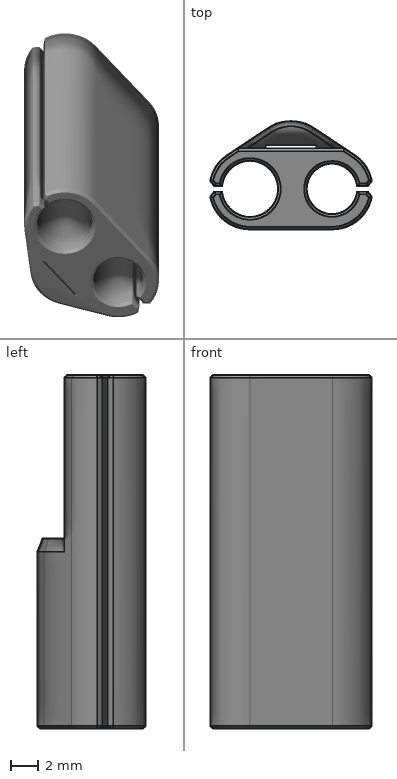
import cadquery as cq
import math

height = 26.0
outer_radius = 3.0
bore_offset = 3.02
ridge_offset = 2.0
left_bore_radius = 2.05
right_bore_radius = 1.85
edge_chamfer = 0.2

ridge_height = 14.0
ridge_slope_height = 1.0
ridge_slope_inset = 0.4

slot_width = 0.4
mouth_width = 1.17
mouth_depth = 0.3

passage_width = 3.7
passage_depth = 0.2

cut_span = 4 * outer_radius + 2 * bore_offset


def outline(z):
    """Triangle of the three axes, rounded outward by the outer radius."""
    corners = [(-bore_offset, 0), (bore_offset, 0), (0, ridge_offset)]
    return cq.Workplane("XY", origin=(0, 0, z)).polyline(corners).close().offset2D(outer_radius)


def make_body():
    """Full-height body, flat at the back."""
    clip = cq.Workplane("XY").box(cut_span, 2 * outer_radius, height, centered=(True, True, False))
    return outline(0).extrude(height).intersect(clip)


def make_ridge():
    """Shorter back ridge with its outer top edge sloped inward."""
    slope_start = ridge_height - ridge_slope_height
    slope_angle = math.degrees(math.atan2(ridge_slope_inset, ridge_slope_height))
    straight = outline(0).extrude(slope_start)
    sloped = outline(slope_start).extrude(ridge_slope_height, taper=slope_angle)
    behind_body = (
        cq.Workplane("XY", origin=(0, outer_radius, 0))
        .box(cut_span, cut_span, ridge_height, centered=(True, False, False))
    )
    return straight.union(sloped).intersect(behind_body)


def make_bore(side, radius):
    """Bore together with its side slot and flared mouth; side is -1 or 1."""
    bore = cq.Workplane("XY").center(side * bore_offset, 0).circle(radius).extrude(height)
    mouth_outer = bore_offset + math.sqrt(outer_radius**2 - (mouth_width / 2) ** 2)
    mouth_inner = mouth_outer - mouth_depth
    flare = (mouth_width - slot_width) / 2 / mouth_depth
    clear_x = bore_offset + 2 * outer_radius
    clear_half_width = slot_width / 2 + flare * (clear_x - mouth_inner)
    half_slot = slot_width / 2
    slot = (
        cq.Workplane("XY")
        .polyline([
            (side * bore_offset, -half_slot),
            (side * mouth_inner, -half_slot),
            (side * clear_x, -clear_half_width),
            (side * clear_x, clear_half_width),
            (side * mouth_inner, half_slot),
            (side * bore_offset, half_slot),
        ])
        .close()
        .extrude(height)
    )
    return bore.union(slot)


def make_passage():
    """Through passage running along the flat back of the body."""
    return (
        cq.Workplane("XY", origin=(0, outer_radius, 0))
        .box(passage_width, passage_depth, ridge_height, centered=(True, False, False))
    )


result = make_body().union(make_ridge())
result = result.cut(make_bore(-1, left_bore_radius))
result = result.cut(make_bore(1, right_bore_radius))

result = result.faces(">Z").edges().chamfer(edge_chamfer)
result = result.faces("<Z").edges().chamfer(edge_chamfer)

result = result.cut(make_passage())